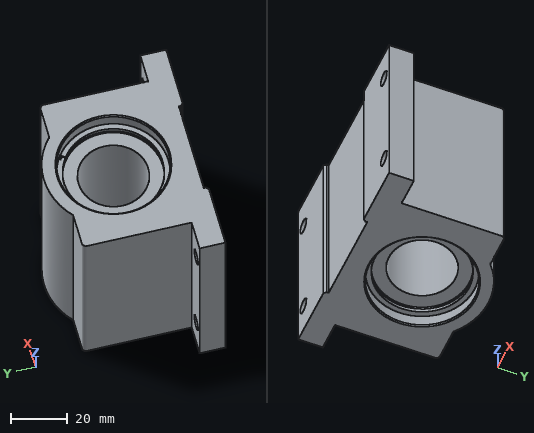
import cadquery as cq

base_width = 82.55
block_length = 71.4
total_depth = 55.5

flange_thickness = 9.5
body_width = 60.4
shoulder_depth = 49.2
corner_radius = 1.5
crown_radius = 25.35
bore_center_y = total_depth - crown_radius

relief_width = 34.9
relief_depth = 1.65
relief_chamfer = 0.9

mount_hole_diameter = 5.6
mount_spacing_x = 73.05
mount_spacing_z = 44.6

bore_radius = 20.1
bore_chamfer = 0.5

bearing_bore_radius = 12.7
bearing_length = 57.8
bearing_recess_radius = 18.0
bearing_recess_depth = 1.0

ring_inner_radius = bearing_recess_radius
groove_depth = 0.7
ring_outer_radius = bore_radius + groove_depth
ring_thickness = 1.6
ring_slit_width = 0.25
ring_slit_angle = 55.5
removal_notch_radius = 19.4
removal_notch_width = 1.2

bearing_end_z = bearing_length / 2
ring_bottom_levels = (bearing_end_z, -bearing_end_z - ring_thickness)


def axial_cylinder(radius, bottom_z, height):
    """Cylinder on the bore axis, starting at bottom_z."""
    return (
        cq.Workplane("XY", origin=(0, bore_center_y, bottom_z))
        .circle(radius)
        .extrude(height)
    )


def axial_box(width, depth, center_y):
    """Box centred on X = 0 that runs the full length of the block."""
    return cq.Workplane("XY").box(width, depth, block_length).translate((0, center_y, 0))


def make_relief_channel():
    """Prism of the relief channel, widened by chamfers at the mounting face."""
    half_width = relief_width / 2
    half_mouth = half_width + relief_chamfer
    return (
        cq.Workplane("XY", origin=(0, 0, -block_length / 2))
        .moveTo(-half_mouth, 0)
        .lineTo(-half_width, relief_chamfer)
        .lineTo(-half_width, relief_depth)
        .lineTo(half_width, relief_depth)
        .lineTo(half_width, relief_chamfer)
        .lineTo(half_mouth, 0)
        .close()
        .extrude(block_length)
    )


def make_mount_holes():
    """Four cylinders that pass through the flanges along Y."""
    return (
        cq.Workplane("XZ")
        .rect(mount_spacing_x, mount_spacing_z, forConstruction=True)
        .vertices()
        .circle(mount_hole_diameter / 2)
        .extrude(-flange_thickness)
    )


def make_housing():
    flange = axial_box(base_width, flange_thickness, flange_thickness / 2)
    body = (
        axial_box(body_width, shoulder_depth, shoulder_depth / 2)
        .edges("|Z and >Y")
        .fillet(corner_radius)
    )
    crown = axial_cylinder(crown_radius, -block_length / 2, block_length)
    bore = axial_cylinder(bore_radius, -block_length / 2, block_length)
    housing = flange.union(body).union(crown).cut(bore)
    bore_rims = cq.selectors.RadiusNthSelector(-2)
    housing = housing.edges(bore_rims).chamfer(bore_chamfer)
    housing = housing.cut(make_relief_channel()).cut(make_mount_holes())
    for bottom_z in ring_bottom_levels:
        housing = housing.cut(axial_cylinder(ring_outer_radius, bottom_z, ring_thickness))
    return housing


def make_bearing():
    """Sleeve with a shallow round recess in each end."""
    bearing = axial_cylinder(bore_radius, -bearing_end_z, bearing_length)
    bearing = bearing.cut(axial_cylinder(bearing_bore_radius, -bearing_end_z, bearing_length))
    for recess_bottom_z in (bearing_end_z - bearing_recess_depth, -bearing_end_z):
        recess = axial_cylinder(bearing_recess_radius, recess_bottom_z, bearing_recess_depth)
        bearing = bearing.cut(recess)
    return bearing


def make_retaining_ring(bottom_z):
    """Ring split by a thin radial slit, with a removal notch in the rim beside the slit."""
    ring = axial_cylinder(ring_outer_radius, bottom_z, ring_thickness)
    ring = ring.cut(axial_cylinder(ring_inner_radius, bottom_z, ring_thickness))
    slit = (
        cq.Workplane("XY")
        .box(ring_outer_radius, ring_slit_width, ring_thickness, centered=(False, True, False))
    )
    notch_length = ring_outer_radius - removal_notch_radius
    notch = (
        cq.Workplane("XY", origin=(removal_notch_radius, 0, 0))
        .box(notch_length, removal_notch_width, ring_thickness, centered=False)
    )
    split = (
        slit.union(notch)
        .rotate((0, 0, 0), (0, 0, 1), ring_slit_angle)
        .translate((0, bore_center_y, bottom_z))
    )
    return ring.cut(split)


housing = make_housing()
bearing = make_bearing()
retaining_rings = [make_retaining_ring(bottom_z) for bottom_z in ring_bottom_levels]

result = cq.Compound.makeCompound(
    [housing.val(), bearing.val(), *[ring.val() for ring in retaining_rings]]
)